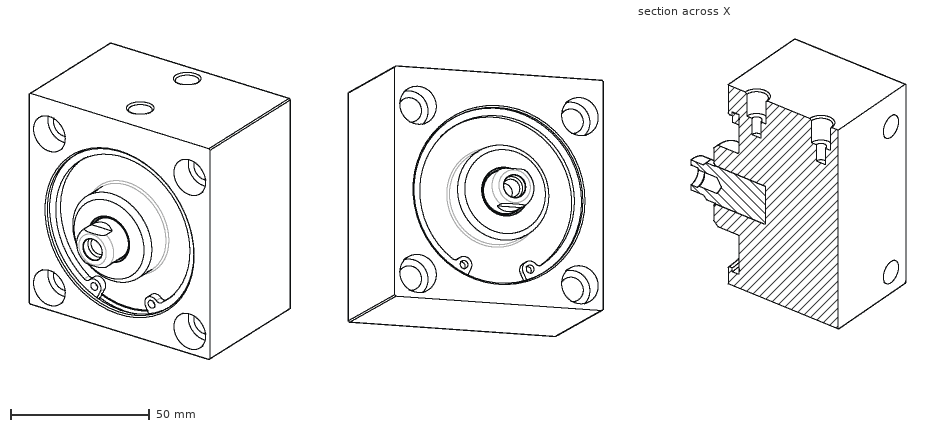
import cadquery as cq
import math

BLOCK_WIDTH = 80.0
BLOCK_HEIGHT = 85.0
BLOCK_DEPTH = 50.5
BLOCK_EDGE_CHAMFER = 0.5
FRONT_Y = -BLOCK_DEPTH / 2
REAR_Y = BLOCK_DEPTH / 2

AXIS_Z = (BLOCK_WIDTH - BLOCK_HEIGHT) / 2

MOUNT_PITCH = 62.05
MOUNT_HOLE_DIAMETER = 9.0
MOUNT_HEAD_DIAMETER = 14.0
MOUNT_HEAD_DEPTH = 9.0

PORT_DIAMETER = 8.6
PORT_DEPTH = 10.0
PORT_MOUTH_DIAMETER = 10.0
PORT_PASSAGE_DIAMETER = 4.0
PORT_PASSAGE_DEPTH = 17.0
PORT_SETBACKS = (8.0, 37.5)

RECESS_DIAMETER = 64.8
RECESS_MOUTH_DIAMETER = 66.0
GROOVE_DIAMETER = 68.0
RING_SETBACK = 2.0
RING_THICKNESS = 3.0
RECESS_DEPTH = RING_SETBACK + RING_THICKNESS
NOTCH_SIZE = 0.4

BOSS_DIAMETER = 35.0
BOSS_PROJECTION = 6.6
BOSS_CHAMFER = 2.0
BOSS_FOOT_ROUND = 0.8

ROD_DIAMETER = 16.0
ROD_PROJECTION = 17.0
ROD_INSERTION = 17.0
ROD_END_ROUND = 1.95
FLAT_WIDTH = 13.0
FLAT_LENGTH = 5.7
ROD_BORE_DIAMETER = 6.6
ROD_BORE_DEPTH = 11.9
ROD_COUNTERBORE_DIAMETER = 8.25
ROD_COUNTERBORE_DEPTH = 3.0
ROD_BORE_MOUTH_DIAMETER = 8.6
DRILL_POINT_ANGLE = 118.0

WIPER_MOUTH_DIAMETER = 18.0
WIPER_SEAT_DIAMETER = 17.7
WIPER_SEAT_DEPTH = 0.4
WIPER_LIP_DIAMETER = 16.6
WIPER_LIP_DEPTH = 0.85

RING_INNER_DIAMETER = 59.3
LUG_X = 12.7
LUG_DROP = 26.1
LUG_RADIUS = 3.0
LUG_HOLE_DIAMETER = 3.0
LUG_BLEND_RADIUS = 1.7


def disc(diameter, start, length):
    """Cylinder on the rod axis; start is the distance in front of the block's front face."""
    plane = cq.Plane(origin=(0, FRONT_Y - start, AXIS_Z), xDir=(1, 0, 0), normal=(0, -1, 0))
    return cq.Workplane(plane).circle(diameter / 2).extrude(length)


def turned(points):
    """Solid of revolution about the rod axis from (radius, distance in front of the front face) points."""
    plane = cq.Plane(origin=(0, FRONT_Y, AXIS_Z), xDir=(1, 0, 0), normal=(0, 0, 1))
    profile = [(radius, -distance) for radius, distance in points]
    return cq.Workplane(plane).polyline(profile).close().revolve(360, (0, 0, 0), (0, 1, 0))


def make_block():
    block = cq.Workplane().box(BLOCK_WIDTH, BLOCK_DEPTH, BLOCK_HEIGHT)
    return block.edges("|Y").chamfer(BLOCK_EDGE_CHAMFER)


def make_mount_holes():
    plane = cq.Plane(origin=(0, FRONT_Y, AXIS_Z), xDir=(1, 0, 0), normal=(0, -1, 0))
    centres = cq.Workplane(plane).rect(MOUNT_PITCH, MOUNT_PITCH, forConstruction=True).vertices()
    heads = centres.circle(MOUNT_HEAD_DIAMETER / 2).extrude(-MOUNT_HEAD_DEPTH)
    holes = centres.circle(MOUNT_HOLE_DIAMETER / 2).extrude(-BLOCK_DEPTH)
    return heads.union(holes)


def make_port(setback):
    top = BLOCK_HEIGHT / 2
    mouth_depth = (PORT_MOUTH_DIAMETER - PORT_DIAMETER) / 2
    profile = [
        (0, top),
        (PORT_MOUTH_DIAMETER / 2, top),
        (PORT_DIAMETER / 2, top - mouth_depth),
        (PORT_DIAMETER / 2, top - PORT_DEPTH),
        (PORT_PASSAGE_DIAMETER / 2, top - PORT_DEPTH),
        (PORT_PASSAGE_DIAMETER / 2, top - PORT_PASSAGE_DEPTH),
        (0, top - PORT_PASSAGE_DEPTH),
    ]
    port = cq.Workplane("XZ").polyline(profile).close().revolve(360, (0, 0, 0), (0, 1, 0))
    return port.translate((0, REAR_Y - setback, 0))


def make_recess():
    mouth_depth = (RECESS_MOUTH_DIAMETER - RECESS_DIAMETER) / 2
    return turned([
        (0, 0),
        (RECESS_MOUTH_DIAMETER / 2, 0),
        (RECESS_DIAMETER / 2, -mouth_depth),
        (RECESS_DIAMETER / 2, -RING_SETBACK),
        (GROOVE_DIAMETER / 2, -RING_SETBACK),
        (GROOVE_DIAMETER / 2, -RECESS_DEPTH),
        (0, -RECESS_DEPTH),
    ])


def make_notch():
    """Small V notch around the floor of the recess, in line with the recess wall."""
    outer_radius = RECESS_DIAMETER / 2
    return turned([
        (outer_radius, -RECESS_DEPTH),
        (outer_radius, -RECESS_DEPTH - NOTCH_SIZE),
        (outer_radius - NOTCH_SIZE, -RECESS_DEPTH),
    ])


def make_boss():
    return disc(BOSS_DIAMETER, -RECESS_DEPTH, RECESS_DEPTH + BOSS_PROJECTION).faces("<Y").chamfer(BOSS_CHAMFER)


def make_wiper_seat():
    mouth_depth = (WIPER_MOUTH_DIAMETER - WIPER_SEAT_DIAMETER) / 2
    return turned([
        (0, BOSS_PROJECTION),
        (WIPER_MOUTH_DIAMETER / 2, BOSS_PROJECTION),
        (WIPER_SEAT_DIAMETER / 2, BOSS_PROJECTION - mouth_depth),
        (WIPER_SEAT_DIAMETER / 2, BOSS_PROJECTION - WIPER_SEAT_DEPTH),
        (WIPER_LIP_DIAMETER / 2, BOSS_PROJECTION - WIPER_SEAT_DEPTH),
        (WIPER_LIP_DIAMETER / 2, BOSS_PROJECTION - WIPER_LIP_DEPTH),
        (0, BOSS_PROJECTION - WIPER_LIP_DEPTH),
    ])


def make_housing():
    housing = make_block().cut(make_mount_holes())
    for setback in PORT_SETBACKS:
        housing = housing.cut(make_port(setback))
    housing = housing.cut(make_recess()).cut(make_notch()).union(make_boss())
    floor = FRONT_Y + RECESS_DEPTH
    reach = BOSS_DIAMETER / 2 + BOSS_FOOT_ROUND
    around_foot = cq.selectors.BoxSelector(
        (-reach, floor - BOSS_FOOT_ROUND / 2, AXIS_Z - reach),
        (reach, floor + BOSS_FOOT_ROUND / 2, AXIS_Z + reach),
        boundingbox=True,
    )
    housing = housing.edges(around_foot).fillet(BOSS_FOOT_ROUND)
    housing = housing.cut(make_wiper_seat())
    return housing.cut(disc(ROD_DIAMETER, -ROD_INSERTION, ROD_INSERTION + ROD_PROJECTION))


def make_rod_bore():
    mouth_depth = (ROD_BORE_MOUTH_DIAMETER - ROD_COUNTERBORE_DIAMETER) / 2
    taper_length = (ROD_COUNTERBORE_DIAMETER - ROD_BORE_DIAMETER) / 2
    point_length = ROD_BORE_DIAMETER / 2 / math.tan(math.radians(DRILL_POINT_ANGLE / 2))
    return turned([
        (0, ROD_PROJECTION),
        (ROD_BORE_MOUTH_DIAMETER / 2, ROD_PROJECTION),
        (ROD_COUNTERBORE_DIAMETER / 2, ROD_PROJECTION - mouth_depth),
        (ROD_COUNTERBORE_DIAMETER / 2, ROD_PROJECTION - ROD_COUNTERBORE_DEPTH),
        (ROD_BORE_DIAMETER / 2, ROD_PROJECTION - ROD_COUNTERBORE_DEPTH - taper_length),
        (ROD_BORE_DIAMETER / 2, ROD_PROJECTION - ROD_BORE_DEPTH),
        (0, ROD_PROJECTION - ROD_BORE_DEPTH - point_length),
    ])


def make_flat_cut(side):
    """Cut above (side 1) or below (side -1) the axis, ending in a 45 degree run-out."""
    flat = FLAT_WIDTH / 2
    outer = ROD_DIAMETER / 2 + 0.85
    flat_start = ROD_PROJECTION - FLAT_LENGTH
    profile = [
        (FRONT_Y - ROD_PROJECTION, AXIS_Z + side * flat),
        (FRONT_Y - flat_start, AXIS_Z + side * flat),
        (FRONT_Y - flat_start + (outer - flat), AXIS_Z + side * outer),
        (FRONT_Y - ROD_PROJECTION, AXIS_Z + side * outer),
    ]
    return cq.Workplane("YZ").polyline(profile).close().extrude(outer, both=True)


def make_rod():
    rod = disc(ROD_DIAMETER, -ROD_INSERTION, ROD_INSERTION + ROD_PROJECTION)
    rod = rod.faces("<Y").edges().fillet(ROD_END_ROUND)
    for side in (1, -1):
        rod = rod.cut(make_flat_cut(side))
    return rod.cut(make_rod_bore())


def make_ring():
    plane = cq.Plane(origin=(0, FRONT_Y + RECESS_DEPTH, AXIS_Z), xDir=(1, 0, 0), normal=(0, -1, 0))
    sketch = cq.Workplane(plane)
    outer_radius = GROOVE_DIAMETER / 2
    ring = sketch.circle(outer_radius).circle(RING_INNER_DIAMETER / 2).extrude(RING_THICKNESS)

    lug_distance = math.hypot(LUG_X, LUG_DROP)
    outward = (LUG_X / lug_distance, -LUG_DROP / lug_distance)
    toward_gap = (outward[1], -outward[0])
    tangent = (LUG_X + LUG_RADIUS * toward_gap[0], -LUG_DROP + LUG_RADIUS * toward_gap[1])
    reach = outer_radius
    far = (tangent[0] + reach * outward[0], tangent[1] + reach * outward[1])
    gap_outline = [(-far[0], far[1]), (-tangent[0], tangent[1]), tangent, far]
    ring = ring.cut(sketch.polyline(gap_outline).close().extrude(RING_THICKNESS))

    for side in (1, -1):
        lug_web = [
            (side * LUG_X, -LUG_DROP),
            (side * tangent[0], tangent[1]),
            (side * far[0], far[1]),
            (side * (LUG_X + reach * outward[0]), -LUG_DROP + reach * outward[1]),
        ]
        lug = sketch.center(side * LUG_X, -LUG_DROP).circle(LUG_RADIUS).extrude(RING_THICKNESS)
        lug = lug.union(sketch.polyline(lug_web).close().extrude(RING_THICKNESS))
        ring = ring.union(lug)
    ring = ring.intersect(sketch.circle(outer_radius).extrude(RING_THICKNESS)).clean()

    blend_x = LUG_X + LUG_RADIUS
    blend_z = AXIS_Z - math.sqrt((RING_INNER_DIAMETER / 2) ** 2 - blend_x**2)
    for side in (1, -1):
        corner = (side * blend_x, FRONT_Y + RECESS_DEPTH, blend_z)
        ring = ring.edges("|Y").edges(cq.selectors.NearestToPointSelector(corner)).fillet(LUG_BLEND_RADIUS)

    lug_centres = [(side * LUG_X, -LUG_DROP) for side in (1, -1)]
    holes = sketch.pushPoints(lug_centres).circle(LUG_HOLE_DIAMETER / 2).extrude(RING_THICKNESS)
    return ring.cut(holes)


housing = make_housing()
rod = make_rod()
ring = make_ring()

result = cq.Compound.makeCompound([housing.val(), rod.val(), ring.val()])